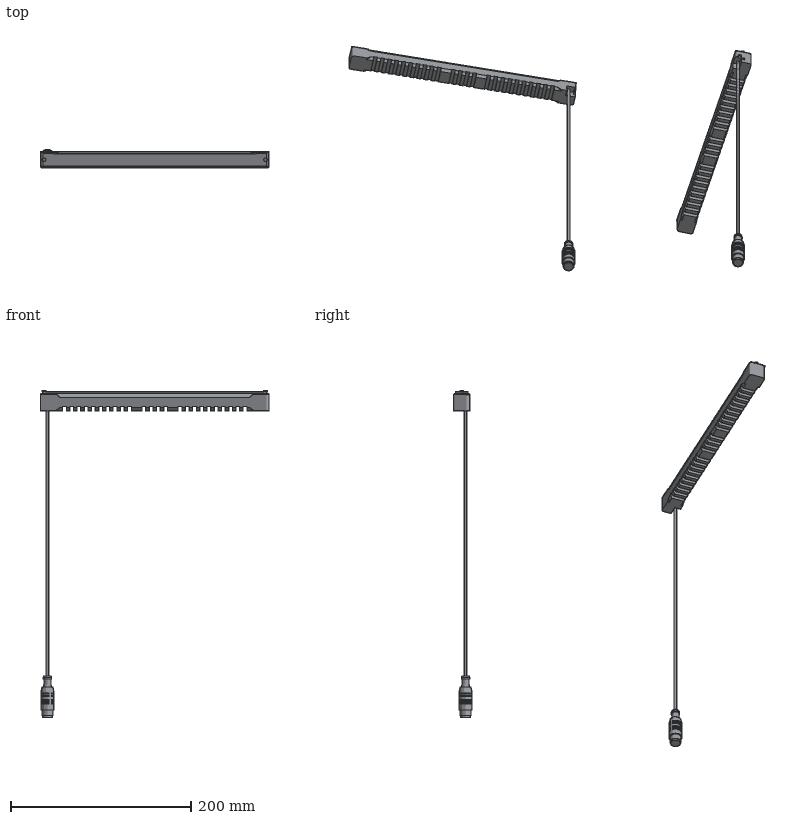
import cadquery as cq

bar_length = 254.0
bar_front = -10.35
bar_back = 8.0
bar_width = bar_back - bar_front
bar_middle = (bar_front + bar_back) / 2
bar_top = -3.3
bar_bottom = -22.5
bar_end = -bar_length / 2
front_corner_radius = 2.5
back_corner_radius = 3.5
rim_height = 1.5
rim_chamfer = 1.0

bevel_start = 105.2
bevel_runout = 4.7
top_bevel_height = 4.5
top_bevel_depth = 1.8
bottom_bevel_height = 3.5
bottom_bevel_depth = 2.0

slot_row_length = 200.3
slot_places = 26
slot_pitch = slot_row_length / (slot_places - 1)
blank_places = (10, 15)
slot_width = 4.0
slot_height = 4.7

cover_top = -1.0
cover_length = 248.2
cover_width = 14.0
screw_diameter = 4.0
screw_shank_diameter = 3.23
screw_spacing = 245.5
relief_length = 225.0
relief_depth = 1.0

cable_x = -119.0
cable_y = 3.1
cable_diameter = 3.23
outlet_ceiling = -13.8
outlet_side = 1.0
outlet_depth = 11.0
outlet_hole_diameter = 3.0
outlet_hole_depth = 1.8
outlet_hole_y = -1.0
outlet_hole_z = -16.0
outlet_crown_diameter = 4.0
outlet_crown_z = -12.5

plug_bottom = -363.0
plug_top = -316.5
plug_radius = 7.3
groove_radius = 6.7
neck_radius = 4.0
collar_radius = 4.7
collar_edge = -318.2
collar_bottom = -320.0
neck_bottom = -326.2
shoulder_top = -329.0
grip_top = -334.2
grip_bottom = -354.0
tip_radius = 6.0
tip_end_radius = 5.5
tip_step = -360.5
groove_height = 1.0
groove_tops = (-335.3, -338.0, -343.0, -344.7, -346.5)
key_left = 1.5
key_width = 3.3


def bar_block(bottom, height):
    """Plain bar slice standing on the given level."""
    centre = (0, bar_middle, bottom)
    return cq.Workplane("XY", origin=centre).box(
        bar_length, bar_width, height, centered=(True, True, False)
    )


def bevel_cutter(side_y, inward, level, rise, depth):
    """Edge wedge with slanted ends; rise is signed, pointing into the bar from its edge level."""
    wedge = (
        cq.Workplane("YZ")
        .polyline([(side_y, level), (side_y + inward * depth, level), (side_y, level + rise)])
        .close()
        .extrude(bar_length / 2, both=True)
    )
    long_half = bevel_start + bevel_runout
    stretch = (
        cq.Workplane("XZ")
        .polyline(
            [
                (-long_half, level),
                (long_half, level),
                (bevel_start, level + rise),
                (-bevel_start, level + rise),
            ]
        )
        .close()
        .extrude(bar_length, both=True)
    )
    return wedge.intersect(stretch)


def make_housing():
    body = bar_block(bar_bottom, bar_top - rim_height - bar_bottom)
    body = body.edges("|Z and <Y").fillet(front_corner_radius)
    body = body.edges("|Z and >Y").fillet(back_corner_radius)
    rim = bar_block(bar_top - rim_height, rim_height)
    rim = rim.edges("|Z and <Y").fillet(front_corner_radius)
    rim = rim.faces(">Z").edges().chamfer(rim_chamfer)
    housing = body.union(rim)
    for side_y, inward in ((bar_front, 1), (bar_back, -1)):
        top_bevel = bevel_cutter(side_y, inward, bar_top, -top_bevel_height, top_bevel_depth)
        bottom_bevel = bevel_cutter(side_y, inward, bar_bottom, bottom_bevel_height, bottom_bevel_depth)
        housing = housing.cut(top_bevel).cut(bottom_bevel)
    return housing


def make_slots():
    places = []
    for place in range(slot_places):
        if place not in blank_places:
            x = place * slot_pitch - slot_row_length / 2
            places.append((x, bar_middle))
    return (
        cq.Workplane("XY", origin=(0, 0, bar_bottom))
        .pushPoints(places)
        .rect(slot_width, bar_width)
        .extrude(slot_height)
    )


def end_face_hole(y, z, diameter):
    """Blind round hole in the end face at the cable end of the bar."""
    return cq.Workplane("YZ", origin=(bar_end, y, z)).circle(diameter / 2).extrude(outlet_hole_depth)


def make_outlet():
    """Corner recess open to the end, the back and the underside, with two blind holes at its edge."""
    recess = cq.Workplane("XY", origin=(bar_end, outlet_side, bar_bottom)).box(
        outlet_depth, bar_back - outlet_side, outlet_ceiling - bar_bottom, centered=False
    )
    crown = end_face_hole(cable_y, outlet_crown_z, outlet_crown_diameter)
    side_hole = end_face_hole(outlet_hole_y, outlet_hole_z, outlet_hole_diameter)
    return recess.union(crown).union(side_hole)


def make_cover():
    height = cover_top - bar_top
    cover = cq.Workplane("XY", origin=(0, bar_middle, bar_top)).box(
        cover_length, cover_width, height, centered=(True, True, False)
    )
    relief = cq.Workplane("XY", origin=(0, bar_middle + cover_width / 2, bar_top)).box(
        relief_length, 2 * relief_depth, height, centered=(True, True, False)
    )
    cover = cover.cut(relief)
    for side in (-1, 1):
        screw_x = side * screw_spacing / 2
        shank = (
            cq.Workplane("XY", origin=(screw_x, bar_middle, bar_top))
            .circle(screw_shank_diameter / 2)
            .extrude(height)
        )
        head = (
            cq.Workplane("XY", origin=(screw_x, bar_middle, cover_top))
            .circle(screw_diameter / 2)
            .extrude(-cover_top)
        )
        cover = cover.union(shank).union(head)
    return cover


def make_cable():
    return (
        cq.Workplane("XY", origin=(cable_x, cable_y, plug_top))
        .circle(cable_diameter / 2)
        .extrude(outlet_ceiling - plug_top)
    )


def make_plug():
    outline = [
        (0, plug_top),
        (neck_radius, plug_top),
        (collar_radius, collar_edge),
        (collar_radius, collar_bottom),
        (neck_radius, collar_bottom),
        (neck_radius, neck_bottom),
        (collar_radius, shoulder_top),
        (tip_radius, shoulder_top),
        (plug_radius, grip_top),
        (plug_radius, grip_bottom),
        (tip_radius, grip_bottom),
        (tip_radius, tip_step),
        (tip_end_radius, tip_step),
        (tip_end_radius, plug_bottom),
        (0, plug_bottom),
    ]
    plug = cq.Workplane("XZ").polyline(outline).close().revolve(360, (0, 0), (0, 1))
    key = cq.Workplane("XY", origin=(key_left, -plug_radius, grip_bottom)).box(
        key_width, plug_radius, grip_top - grip_bottom, centered=False
    )
    for top in groove_tops:
        groove = (
            cq.Workplane("XY", origin=(0, 0, top - groove_height))
            .circle(plug_radius)
            .circle(groove_radius)
            .extrude(groove_height)
        )
        plug = plug.cut(groove.cut(key))
    return plug.translate((cable_x, cable_y, 0))


housing = make_housing().cut(make_slots()).cut(make_outlet())
result = housing.union(make_cover()).union(make_cable()).union(make_plug())